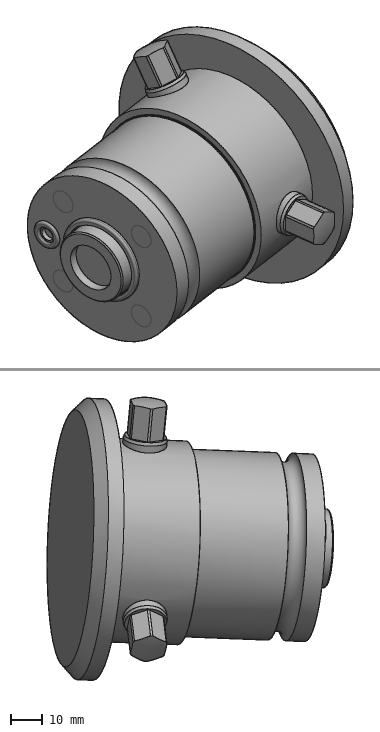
import cadquery as cq
import math


flange_radius = 45.0
flange_depth = 9.0
flange_chamfer = 3.95
body_radius = 32.55
body_end = 36.0
lip_radius = 30.3
lip_length = 0.5
barrel_radius = 30.0
barrel_end = 77.1
groove_radius = 2.9
groove_center = 68.0

overall_depth = 83.0
boss_radius = 12.6
boss_chamfer = 0.5
bore_radius = 8.1
bore_depth = 2.9
ring_height = 1.6
edge_rounding = 0.8
ring_outer_radius = 14.9
ring_inner_radius = 13.0

grommet_offset = 21.9
grommet_radius = 5.0
grommet_height = 1.0
grommet_hole_radius = 2.85
grommet_mouth_radius = 3.3
inner_hole_radius = 2.2
inner_hole_depth = 1.7

dowel_radius = 3.95
dowel_spacing = 31.3
dowel_length = 7.4

stud_count = 3
stud_depth = 21.1
stud_tip = 47.0
hex_across_flats = 11.0
hex_corner_radius = 6.2
dome_radius = 25.75
collar_radius = 7.1
collar_end = 35.1
collar_chamfer_length = 1.0
collar_chamfer_width = 0.4
stud_root = 27.6


def disc(radius, start, end, x=0, z=0):
    """Cylinder along the main axis between two depths."""
    return cq.Workplane("XZ", origin=(0, -start, 0)).center(x, z).circle(radius).extrude(end - start)


def make_body():
    """Flange, body and grooved barrel as one revolved profile."""
    profile = (
        cq.Workplane("XY")
        .moveTo(0, 0)
        .lineTo(flange_radius - flange_chamfer, 0)
        .lineTo(flange_radius, -flange_chamfer)
        .lineTo(flange_radius, -flange_depth)
        .lineTo(body_radius, -flange_depth)
        .lineTo(body_radius, -body_end)
        .lineTo(lip_radius, -body_end)
        .lineTo(lip_radius, -body_end - lip_length)
        .lineTo(barrel_radius, -body_end - lip_length)
        .lineTo(barrel_radius, -groove_center + groove_radius)
        .threePointArc(
            (barrel_radius - groove_radius, -groove_center),
            (barrel_radius, -groove_center - groove_radius),
        )
        .lineTo(barrel_radius, -barrel_end)
        .lineTo(0, -barrel_end)
        .close()
    )
    return profile.revolve(360, (0, 0, 0), (0, 1, 0))


def make_boss():
    """Chamfered boss with a blind bore."""
    boss = disc(boss_radius, barrel_end, overall_depth).faces("<Y").chamfer(boss_chamfer)
    return boss.cut(disc(bore_radius, overall_depth - bore_depth, overall_depth))


def make_raised_pad(radius, height, x=0):
    """Low round pad on the end face with a rounded rim."""
    pad = disc(radius, barrel_end, barrel_end + height, x)
    return pad.faces("<Y").edges().fillet(edge_rounding)


def make_ring():
    """Ring around the boss, separated from it by a narrow gap."""
    return make_raised_pad(ring_outer_radius, ring_height).cut(
        disc(ring_inner_radius, barrel_end, barrel_end + ring_height)
    )


def add_grommet(part):
    """Rounded pad pierced by a stepped hole with a rounded mouth."""
    top = barrel_end + grommet_height
    hole = disc(grommet_hole_radius, barrel_end, top, -grommet_offset)
    inner_hole = disc(inner_hole_radius, barrel_end - inner_hole_depth, barrel_end, -grommet_offset)
    pad = make_raised_pad(grommet_radius, grommet_height, -grommet_offset).cut(hole)
    mouth_edge = pad.faces("<Y").edges(cq.selectors.RadiusNthSelector(0))
    pad = mouth_edge.fillet(grommet_mouth_radius - grommet_hole_radius)
    return part.union(pad).cut(inner_hole)


def make_stud():
    """Stud along +X: chamfered collar and a domed hexagon with trimmed corners."""
    plane = cq.Workplane("YZ", origin=(stud_root, -stud_depth, 0))
    collar_profile = (
        cq.Workplane("XY", origin=(0, -stud_depth, 0))
        .moveTo(stud_root, 0)
        .lineTo(stud_root, collar_radius)
        .lineTo(collar_end - collar_chamfer_length, collar_radius)
        .lineTo(collar_end, collar_radius - collar_chamfer_width)
        .lineTo(collar_end, 0)
        .close()
    )
    collar = collar_profile.revolve(360, (0, 0, 0), (1, 0, 0))
    corner_distance = hex_across_flats / math.cos(math.pi / 6)
    length = stud_tip - stud_root
    hexagon = plane.transformed(rotate=(0, 0, 90)).polygon(6, corner_distance).extrude(length)
    corner_trim = plane.circle(hex_corner_radius).extrude(length)
    dome = cq.Workplane("XY").sphere(dome_radius).translate((stud_tip - dome_radius, -stud_depth, 0))
    return collar.union(hexagon.intersect(corner_trim).intersect(dome))


part = make_body().union(make_ring()).union(make_boss())
part = add_grommet(part)

for index in range(stud_count):
    angle = index * 360 / stud_count
    part = part.union(make_stud().rotate((0, 0, 0), (0, 1, 0), angle))

dowel_centers = [
    (side_x * dowel_spacing / 2, side_z * dowel_spacing / 2) for side_x in (-1, 1) for side_z in (-1, 1)
]
dowels = [
    disc(dowel_radius, barrel_end - dowel_length, barrel_end, x, z) for x, z in dowel_centers
]
for dowel in dowels:
    part = part.cut(dowel)
for dowel in dowels:
    part = part.union(dowel, clean=False)

result = part